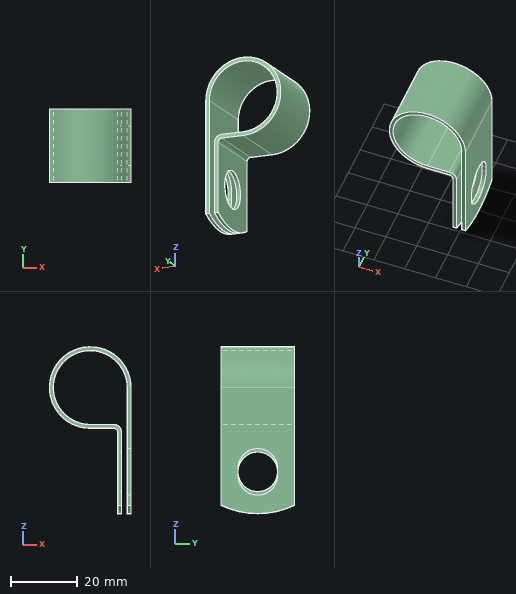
import cadquery as cq
import math

outer_diameter = 24.65
thickness = 1.2
width = 22.25
height = 50.45
leg_gap = 1.65
bend_inner_radius = 1.15
hole_diameter = 11.9
slot_length = 14.0
hole_height = 12.65
end_rise = 2.55

outer_radius = outer_diameter / 2
inner_radius = outer_radius - thickness
bend_outer_radius = bend_inner_radius + thickness
bottom_z = outer_radius - height
long_leg_inner_x = outer_radius - thickness
short_leg_outer_x = long_leg_inner_x - leg_gap
short_leg_inner_x = short_leg_outer_x - thickness
bend_x = short_leg_outer_x - bend_outer_radius
bend_z = -inner_radius - bend_outer_radius
diagonal = math.sqrt(0.5)


def bent_strap():
    """Strap of constant thickness: long leg, three-quarter loop, bend and short leg."""
    profile = (
        cq.Workplane("XZ")
        .moveTo(outer_radius, bottom_z)
        .lineTo(outer_radius, 0)
        .threePointArc((-outer_radius * diagonal, outer_radius * diagonal), (0, -outer_radius))
        .lineTo(bend_x, -outer_radius)
        .threePointArc(
            (bend_x + bend_inner_radius * diagonal, bend_z + bend_inner_radius * diagonal),
            (short_leg_inner_x, bend_z),
        )
        .lineTo(short_leg_inner_x, bottom_z)
        .lineTo(short_leg_outer_x, bottom_z)
        .lineTo(short_leg_outer_x, bend_z)
        .threePointArc(
            (bend_x + bend_outer_radius * diagonal, bend_z + bend_outer_radius * diagonal),
            (bend_x, -inner_radius),
        )
        .lineTo(0, -inner_radius)
        .threePointArc((-inner_radius * diagonal, inner_radius * diagonal), (inner_radius, 0))
        .lineTo(long_leg_inner_x, bottom_z)
        .close()
    )
    return profile.extrude(width / 2, both=True)


def side_envelope():
    """Side silhouette of the clamp, with an arc across the leg ends."""
    return (
        cq.Workplane("YZ")
        .moveTo(-width / 2, outer_radius)
        .lineTo(-width / 2, bottom_z + end_rise)
        .threePointArc((0, bottom_z), (width / 2, bottom_z + end_rise))
        .lineTo(width / 2, outer_radius)
        .close()
        .extrude(outer_diameter, both=True)
    )


def leg_hole_plane(leg_inner_x):
    """Workplane at the low-X face of a leg, centred on the hole axis."""
    return cq.Workplane("YZ", origin=(leg_inner_x, 0, bottom_z + hole_height))


short_leg_hole = leg_hole_plane(short_leg_inner_x).circle(hole_diameter / 2).extrude(thickness)
long_leg_slot = leg_hole_plane(long_leg_inner_x).slot2D(slot_length, hole_diameter, 90).extrude(thickness)

result = bent_strap().intersect(side_envelope()).cut(short_leg_hole).cut(long_leg_slot)